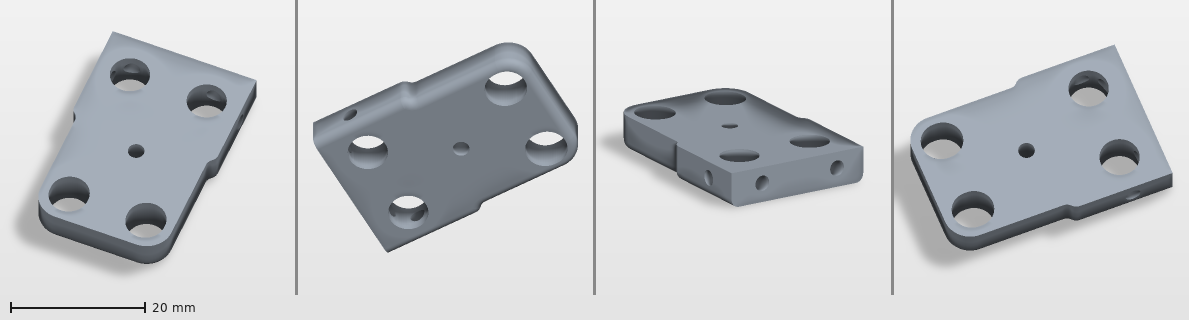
import cadquery as cq
import math

LENGTH = 34.5
HEAD_WIDTH = 23.22
BODY_WIDTH = 21.15
THICKNESS = 5.5
CORNER_RADIUS = 4.0
BOTTOM_FILLET = 1.3
SHOULDER_START = 14.9
SHOULDER_LENGTH = 2.2
SHOULDER_ANGLE = 46

BOLT_DIAMETER = 6.0
BOLT_SPACING = 12.4
BACK_BOLT_INSET = 6.35
FRONT_BOLT_INSET = 4.62
FRONT_SLOT_STRETCH = 0.38
CENTER_DIAMETER = 2.5
CENTER_INSET = 18.8

CROSS_DIAMETER = 2.4
CROSS_HEIGHT = 2.93
LEFT_DRILL_SHIFT = 0.8

back_y = LENGTH / 2
front_y = -LENGTH / 2
back_bolt_y = back_y - BACK_BOLT_INSET
front_bolt_y = front_y + FRONT_BOLT_INSET
bolt_x = BOLT_SPACING / 2


def plate():
    """Plate with S-curved shoulders, round front corners and a rounded bottom edge."""
    head_x = HEAD_WIDTH / 2
    body_x = BODY_WIDTH / 2
    top_y = back_y - SHOULDER_START
    low_y = top_y - SHOULDER_LENGTH

    slope_sin = math.sin(math.radians(SHOULDER_ANGLE))
    slope_cos = math.cos(math.radians(SHOULDER_ANGLE))
    bend_radius = (SHOULDER_LENGTH * slope_sin - (head_x - body_x) * slope_cos) / (2 * (1 - slope_cos))
    bend_x = bend_radius * (1 - slope_cos)
    bend_y = bend_radius * slope_sin

    corner_x = body_x - CORNER_RADIUS
    half = (
        cq.Workplane("XY")
        .moveTo(0, back_y)
        .lineTo(head_x, back_y)
        .lineTo(head_x, top_y)
        .tangentArcPoint((head_x - bend_x, top_y - bend_y), relative=False)
        .lineTo(body_x + bend_x, low_y + bend_y)
        .tangentArcPoint((body_x, low_y), relative=False)
        .lineTo(body_x, front_y + CORNER_RADIUS)
        .tangentArcPoint((corner_x, front_y), relative=False)
        .lineTo(0, front_y)
    )
    body = half.mirrorY().extrude(THICKNESS)
    rounded = body.faces("<Z").edges("not(>Y)")
    return rounded.fillet(BOTTOM_FILLET)


def vertical_holes():
    """Round back holes, slightly elongated front holes and the small center hole."""
    bolts = [(-bolt_x, back_bolt_y), (bolt_x, back_bolt_y)]
    slots = [(-bolt_x, front_bolt_y), (bolt_x, front_bolt_y)]
    back = cq.Workplane("XY").pushPoints(bolts).circle(BOLT_DIAMETER / 2).extrude(THICKNESS)
    front = (
        cq.Workplane("XY")
        .pushPoints(slots)
        .slot2D(BOLT_DIAMETER + FRONT_SLOT_STRETCH, BOLT_DIAMETER, 90)
        .extrude(THICKNESS)
    )
    center = (
        cq.Workplane("XY")
        .center(0, back_y - CENTER_INSET)
        .circle(CENTER_DIAMETER / 2)
        .extrude(THICKNESS)
    )
    return back.union(front).union(center)


def cross_hole(start, direction, length):
    """Horizontal drilling from a point along a direction."""
    drill = cq.Solid.makeCylinder(
        CROSS_DIAMETER / 2, length, cq.Vector(*start), cq.Vector(*direction)
    )
    return cq.Workplane(obj=drill)


result = plate().cut(vertical_holes())

for side in (-1, 1):
    side_start = (side * HEAD_WIDTH / 2, back_bolt_y, CROSS_HEIGHT)
    side_length = HEAD_WIDTH / 2 - bolt_x
    result = result.cut(cross_hole(side_start, (-side, 0, 0), side_length))

for drill_x in (-bolt_x - LEFT_DRILL_SHIFT, bolt_x):
    back_start = (drill_x, back_y, CROSS_HEIGHT)
    result = result.cut(cross_hole(back_start, (0, -1, 0), BACK_BOLT_INSET))